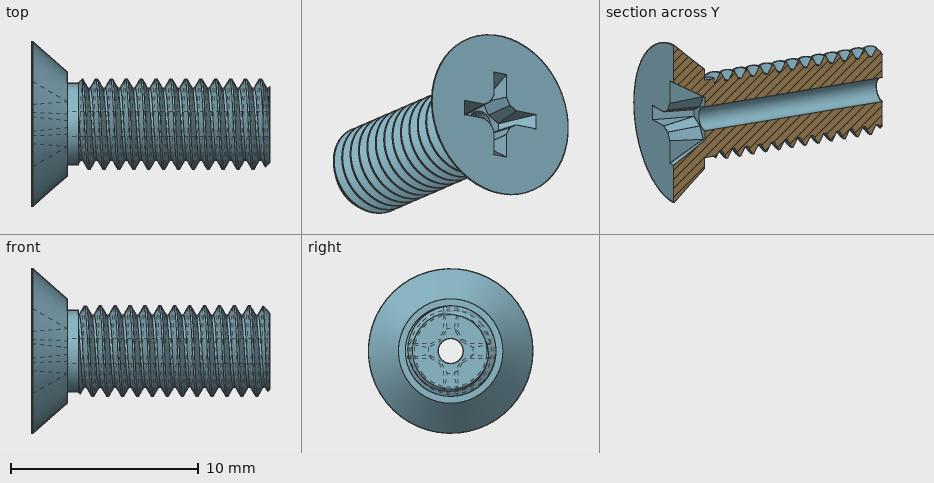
import cadquery as cq
import math

length = 12.7
head_diameter = 8.78
head_radius = head_diameter / 2
rim_thickness = 0.08
head_height = 1.9
head_base_radius = 2.78
neck_radius = 2.18
bore_radius = 0.66

thread_start = 2.49
turns_in_length = 16
thread_pitch = length / turns_in_length
thread_radius = 2.41
root_radius = 1.93
root_width = 0.14
flank_angle = 30.0
start_chamfer = thread_radius - neck_radius
end_chamfer = 0.38
groove_offset = 0.18
first_groove_x = thread_start + groove_offset - thread_pitch
cutter_overlap = 0.13

recess_depth = 1.9
wing_reach = 2.3
wing_half_width = 0.4
wing_inner_reach = 1.04
hub_corner = 0.62
floor_reach = 1.2
floor_wing_width = 0.37
floor_half_width = floor_wing_width / 2


def revolve_about_x(points):
    """Solid of revolution from (x, radius) points."""
    return cq.Workplane("XY").polyline(points).close().revolve(360, (0, 0, 0), (1, 0, 0))


def make_head():
    return revolve_about_x([
        (0, 0),
        (0, head_radius),
        (rim_thickness, head_radius),
        (head_height, head_base_radius),
        (head_height, neck_radius),
        (thread_start, neck_radius),
        (thread_start, 0),
    ])


def make_groove_cutter():
    """Trapezoid swept along a helix that starts on the -Y side."""
    outer_radius = thread_radius + cutter_overlap
    half_root = root_width / 2
    half_mouth = half_root + (outer_radius - root_radius) * math.tan(math.radians(flank_angle))
    helix_height = length + thread_pitch - first_groove_x
    helix = cq.Wire.makeHelix(thread_pitch, helix_height, root_radius)
    profile = cq.Workplane("XZ").polyline([
        (root_radius, -half_root),
        (outer_radius, -half_mouth),
        (outer_radius, half_mouth),
        (root_radius, half_root),
    ]).close()
    cutter = profile.sweep(cq.Workplane(obj=helix), isFrenet=True)
    cutter = cutter.rotate((0, 0, 0), (0, 1, 0), 90)
    cutter = cutter.rotate((0, 0, 0), (1, 0, 0), -90)
    return cutter.translate((first_groove_x, 0, 0))


def make_threaded_shank():
    """Cut the thread in a plain rod, then trim the rod to its chamfered ends."""
    rod = cq.Workplane("YZ").circle(thread_radius).extrude(length + 2 * thread_pitch)
    envelope = revolve_about_x([
        (thread_start, 0),
        (thread_start, neck_radius),
        (thread_start + start_chamfer, thread_radius),
        (length - end_chamfer, thread_radius),
        (length, thread_radius - end_chamfer),
        (length, 0),
    ])
    return rod.cut(make_groove_cutter()).intersect(envelope)


def flat_face(*points):
    return cq.Face.makeFromWires(cq.Wire.makePolygon(points, close=True))


def make_recess():
    """Cross-shaped polyhedron made of four equal wings."""
    facet_run = wing_inner_reach - hub_corner
    facet_rise = hub_corner - wing_half_width
    facet_scale = (floor_reach - floor_half_width) / (facet_run + facet_rise)
    floor_corner = floor_reach - facet_run * facet_scale

    face_outline = []
    floor_outline = []
    walls = []
    for quarter in range(4):
        turn = cq.Location(cq.Vector(0, 0, 0), cq.Vector(1, 0, 0), 90 * quarter)

        def place(x, y, z):
            return cq.Vertex.makeVertex(x, y, z).moved(turn).Center()

        corner_before = place(0, hub_corner, -hub_corner)
        inner_before = place(0, wing_inner_reach, -wing_half_width)
        tip_before = place(0, wing_reach, -wing_half_width)
        tip_after = place(0, wing_reach, wing_half_width)
        inner_after = place(0, wing_inner_reach, wing_half_width)
        corner_after = place(0, hub_corner, hub_corner)
        floor_corner_before = place(recess_depth, floor_corner, -floor_corner)
        floor_tip_before = place(recess_depth, floor_reach, -floor_half_width)
        floor_tip_after = place(recess_depth, floor_reach, floor_half_width)
        floor_corner_after = place(recess_depth, floor_corner, floor_corner)

        face_outline += [corner_before, inner_before, tip_before, tip_after, inner_after]
        floor_outline += [floor_corner_before, floor_tip_before, floor_tip_after]
        walls += [
            flat_face(corner_before, inner_before, floor_tip_before, floor_corner_before),
            flat_face(inner_before, tip_before, floor_tip_before),
            flat_face(tip_before, tip_after, floor_tip_after, floor_tip_before),
            flat_face(tip_after, inner_after, floor_tip_after),
            flat_face(inner_after, corner_after, floor_corner_after, floor_tip_after),
        ]
    faces = walls + [flat_face(*face_outline), flat_face(*floor_outline)]
    return cq.Workplane(obj=cq.Solid.makeSolid(cq.Shell.makeShell(faces)).fix())


bore = cq.Workplane("YZ").circle(bore_radius).extrude(length)
result = make_head().union(make_threaded_shank()).cut(make_recess()).cut(bore)